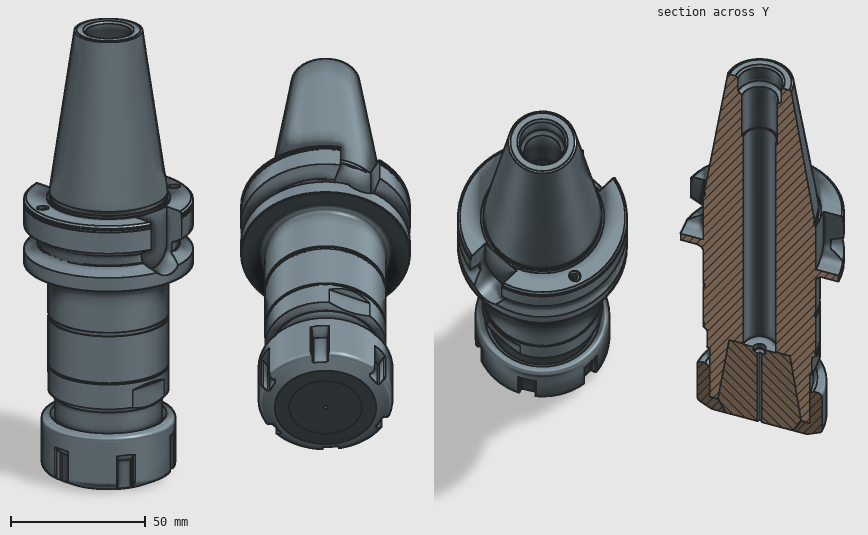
import cadquery as cq
import math


overall_length = 175.4
shank_top = 65.4
gauge_diameter = 44.45
gauge_radius = gauge_diameter / 2
taper_per_height = 7 / 48
shank_rim_width = 0.8
shank_rim_height = 0.3
shank_foot = 1.4
foot_bevel_height = 1.2
foot_neck_radius = 21.7
foot_collar_radius = 22.1
foot_collar_top = -0.3
face_recess_radius = 23.0
face_recess_depth = 0.2

flange_radius = 31.5
flange_top = -1.0
flange_bottom = -27.0
flange_chamfer = 0.8
flange_foot_chamfer = 0.3
line_groove_top = -2.5
line_groove_bottom = -3.4
line_groove_depth = 0.4
v_groove_radius = 26.5
v_groove_centre = -16.5
v_groove_floor_height = 3.9
v_flank_slope = math.radians(30)
v_groove_corner_radius = 0.4
v_groove_flank_height = (flange_radius - v_groove_radius) * math.tan(v_flank_slope)
v_corner_tangent = v_groove_corner_radius * math.tan((math.pi / 2 - v_flank_slope) / 2)
v_corner_outer_radius = v_groove_radius + v_corner_tangent * math.cos(v_flank_slope)
v_corner_rise = v_corner_tangent * math.sin(v_flank_slope)
v_floor_top = v_groove_centre + v_groove_floor_height / 2
v_floor_bottom = v_groove_centre - v_groove_floor_height / 2

keyway_width = 16.1
keyway_floor = 22.5
keyway_bottom = -23.5

coolant_hole_radius = 2.1
coolant_hole_circle = 27.0
coolant_hole_angles = (70, 250)
coolant_hole_lean = 20
coolant_hole_depth = 2.0
coolant_core_radius = 1.2
coolant_core_depth = 12.0

body_radius = 22.5
body_fillet = 2.7
ring_grooves = ((-46.5, 1.5, 0.5), (-66.5, 0.6, 0.4))
body_bottom = -76.8
neck_radius = 20.0
body_end_chamfer = 2.2
neck_cone_end = body_bottom - body_end_chamfer
neck_cone_radius = body_radius - body_end_chamfer
flat_distance = 20.9
flat_top = -70.0
flat_bottom = neck_cone_end

pilot_radius = 8.6
pilot_rim = 0.85
pilot_depth = 6.5
pilot_bevel_width = 0.2
pilot_bevel_height = 1.0
thread_radius = 6.9
thread_end = 30.0
coolant_bore_radius = 6.4

nose = -104.0
collet_mouth_radius = 16.5
collet_angle = 8
collet_back = -72.0
collet_back_radius = collet_mouth_radius - (collet_back - nose) * math.tan(math.radians(collet_angle))
collet_front_radius = 13.5
collet_bore_radius = 0.85
collet_counterbore_radius = 2.4
collet_counterbore_depth = 2.0
collet_cone_radius = 1.9

nut_radius = 25.0
nut_top = -86.8
nut_bottom = shank_top - overall_length
nut_top_fillet = 2.1
nut_mouth_chamfer = 1.6
nut_end_radius = 18.9
nut_end_slope = 27
nut_corner_radius = 2.6
slot_count = 6
first_slot_angle = 30
slot_half_width = 3.0
slot_floor = 21.8
slot_edge_chamfer = 0.75
slot_floor_bevel = 0.5
slot_roof_drop = 3.2
tall_slot_top = -92.1
low_slot_top = -94.4

margin = 1.0


def taper_radius(z):
    return gauge_radius - taper_per_height * z


def revolve_points(points):
    """Solid of revolution about Z from (radius, height) points."""
    return cq.Workplane("XZ").polyline(points).close().revolve(360, (0, 0, 0), (0, 1, 0))


def ring(inner, outer, bottom, top):
    return cq.Workplane("XY", origin=(0, 0, bottom)).circle(outer).circle(inner).extrude(top - bottom)


def holder_blank():
    profile = (
        cq.Workplane("XZ")
        .moveTo(0, shank_top)
        .lineTo(taper_radius(shank_top) - shank_rim_width, shank_top)
        .lineTo(taper_radius(shank_top - shank_rim_height), shank_top - shank_rim_height)
        .lineTo(taper_radius(shank_foot), shank_foot)
        .lineTo(foot_neck_radius, shank_foot - foot_bevel_height)
        .lineTo(foot_neck_radius, foot_collar_top)
        .lineTo(foot_collar_radius, foot_collar_top)
        .lineTo(foot_collar_radius, flange_top - face_recess_depth)
        .lineTo(face_recess_radius, flange_top - face_recess_depth)
        .lineTo(face_recess_radius, flange_top)
        .lineTo(flange_radius - flange_chamfer, flange_top)
        .lineTo(flange_radius, flange_top - flange_chamfer)
        .lineTo(flange_radius, v_floor_top + v_groove_flank_height)
        .lineTo(v_corner_outer_radius, v_floor_top + v_corner_rise)
        .radiusArc((v_groove_radius, v_floor_top - v_corner_tangent), -v_groove_corner_radius)
        .lineTo(v_groove_radius, v_floor_bottom + v_corner_tangent)
        .radiusArc((v_corner_outer_radius, v_floor_bottom - v_corner_rise), -v_groove_corner_radius)
        .lineTo(flange_radius, v_floor_bottom - v_groove_flank_height)
        .lineTo(flange_radius, flange_bottom + flange_foot_chamfer)
        .lineTo(flange_radius - flange_foot_chamfer, flange_bottom)
        .lineTo(body_radius + body_fillet, flange_bottom)
        .radiusArc((body_radius, flange_bottom - body_fillet), -body_fillet)
        .lineTo(body_radius, body_bottom)
        .lineTo(neck_cone_radius, neck_cone_end)
        .lineTo(neck_radius, neck_cone_end)
        .lineTo(neck_radius, nose)
        .lineTo(0, nose)
        .close()
    )
    return profile.revolve(360, (0, 0, 0), (0, 1, 0))


def holder_bores():
    """Pull-stud pilot and thread core, coolant bore and collet seat."""
    pilot_end = shank_top - pilot_depth
    cone_radius = pilot_radius - pilot_bevel_width
    cone_top = pilot_end - pilot_bevel_height
    thread_bottom = shank_top - thread_end
    return revolve_points([
        (0, shank_top),
        (pilot_radius + pilot_rim, shank_top),
        (pilot_radius, shank_top - pilot_rim),
        (pilot_radius, pilot_end),
        (cone_radius, cone_top),
        (thread_radius, cone_top - (cone_radius - thread_radius)),
        (thread_radius, thread_bottom),
        (coolant_bore_radius, thread_bottom),
        (coolant_bore_radius, collet_back),
        (collet_back_radius, collet_back),
        (collet_mouth_radius, nose),
        (0, nose),
    ])


def keyway(side):
    """Drive slot at +X or -X, open at the top and round at the bottom."""
    round_centre = keyway_bottom + keyway_width / 2
    height = flange_top + margin - round_centre
    reach = flange_radius + margin - keyway_floor
    plane = cq.Workplane("YZ", origin=(side * keyway_floor, 0, round_centre))
    straight = plane.center(0, height / 2).rect(keyway_width, height).extrude(side * reach)
    return straight.union(plane.circle(keyway_width / 2).extrude(side * reach))


def coolant_hole(angle):
    """Leaning stepped hole in the flange face."""
    start = cq.Workplane("XY", origin=(0, 0, margin))
    wide = start.circle(coolant_hole_radius).extrude(-margin - coolant_hole_depth)
    core = start.circle(coolant_core_radius).extrude(-margin - coolant_core_depth)
    hole = wide.union(core).rotate((0, 0, 0), (0, 1, 0), coolant_hole_lean)
    return hole.translate((coolant_hole_circle, 0, flange_top)).rotate((0, 0, 0), (0, 0, 1), angle)


def wrench_flat(side):
    """Flat at +X or -X whose upper end slopes out at 45 degrees."""
    reach = body_radius + margin - flat_distance
    outline = [
        (side * flat_distance, flat_bottom),
        (side * flat_distance, flat_top),
        (side * (flat_distance + reach), flat_top + reach),
        (side * (flat_distance + reach), flat_bottom),
    ]
    return cq.Workplane("XZ").polyline(outline).close().extrude(body_radius, both=True)


def make_holder():
    holder = holder_blank().cut(holder_bores())
    holder = holder.cut(ring(flange_radius - line_groove_depth, flange_radius + margin,
                             line_groove_bottom, line_groove_top))
    for top, height, depth in ring_grooves:
        holder = holder.cut(ring(body_radius - depth, body_radius + margin, top - height, top))
    for side in (-1, 1):
        holder = holder.cut(keyway(side)).cut(wrench_flat(side))
    for angle in coolant_hole_angles:
        holder = holder.cut(coolant_hole(angle))
    return holder


def make_collet():
    counterbore_floor = collet_back - collet_counterbore_depth
    cone_end = counterbore_floor - (collet_cone_radius - collet_bore_radius)
    return revolve_points([
        (collet_counterbore_radius, collet_back),
        (collet_back_radius, collet_back),
        (collet_mouth_radius, nose),
        (collet_front_radius, nut_bottom),
        (collet_bore_radius, nut_bottom),
        (collet_bore_radius, cone_end),
        (collet_cone_radius, counterbore_floor),
        (collet_counterbore_radius, counterbore_floor),
    ])


def nut_blank():
    slope = math.radians(nut_end_slope)
    corner = nut_bottom + (nut_radius - nut_end_radius) * math.tan(slope)
    tangent = nut_corner_radius * math.tan((math.pi / 2 - slope) / 2)
    profile = (
        cq.Workplane("XZ")
        .moveTo(neck_radius + nut_mouth_chamfer, nut_top)
        .lineTo(nut_radius - nut_top_fillet, nut_top)
        .radiusArc((nut_radius, nut_top - nut_top_fillet), nut_top_fillet)
        .lineTo(nut_radius, corner + tangent)
        .radiusArc((nut_radius - tangent * math.cos(slope), corner - tangent * math.sin(slope)),
                   nut_corner_radius)
        .lineTo(nut_end_radius, nut_bottom)
        .lineTo(collet_front_radius, nut_bottom)
        .lineTo(collet_mouth_radius, nose)
        .lineTo(neck_radius, nose)
        .lineTo(neck_radius, nut_top - nut_mouth_chamfer)
        .close()
    )
    return profile.revolve(360, (0, 0, 0), (0, 1, 0))


def spanner_slot(top, angle):
    """Slot with a sloping roof, chamfered edges and bevelled floor corners, open at the bottom."""
    roof_slope = slot_roof_drop / (nut_radius - slot_floor)
    outside = nut_radius + margin
    side_view = [
        (slot_floor, nut_bottom - margin),
        (slot_floor, top - slot_roof_drop),
        (outside, top + margin * roof_slope),
        (outside, nut_bottom - margin),
    ]
    chamfer_start = nut_radius - slot_edge_chamfer
    chamfer_end_half_width = slot_half_width + outside - chamfer_start
    floor_half_width = slot_half_width - slot_floor_bevel
    plan = [
        (slot_floor, -floor_half_width),
        (slot_floor + slot_floor_bevel, -slot_half_width),
        (chamfer_start, -slot_half_width),
        (outside, -chamfer_end_half_width),
        (outside, chamfer_end_half_width),
        (chamfer_start, slot_half_width),
        (slot_floor + slot_floor_bevel, slot_half_width),
        (slot_floor, floor_half_width),
    ]
    slot = cq.Workplane("XZ").polyline(side_view).close().extrude(2 * slot_half_width, both=True)
    column = cq.Workplane("XY", origin=(0, 0, nut_bottom - margin)).polyline(plan).close()
    slot = slot.intersect(column.extrude(nut_top - nut_bottom))
    return slot.rotate((0, 0, 0), (0, 0, 1), angle)


def make_nut():
    nut = nut_blank()
    for index in range(slot_count):
        angle = first_slot_angle + index * 360 / slot_count
        top = tall_slot_top if angle < 180 else low_slot_top
        nut = nut.cut(spanner_slot(top, angle))
    return nut


holder = make_holder()
collet = make_collet()
nut = make_nut()

bodies = [holder, collet, nut]
result = cq.Compound.makeCompound([body.solids().val() for body in bodies])